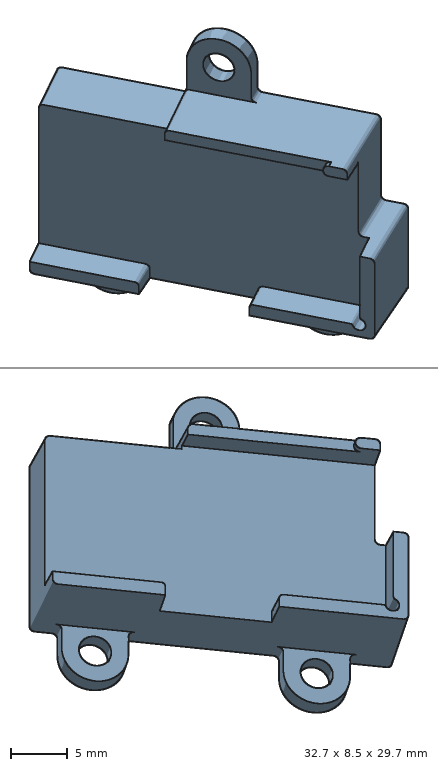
import cadquery as cq
import math

length = 32.7
depth = 8.5
floor_depth = 5.7
draft = 2.0
edge_radius = 0.5
corner_margin = 0.45

left_top = 16.87
step_x = 12.35
block_top = 18.38
upper_right = 30.15
foot_top = 9.3

bottom_wall_top = 1.65
left_wall_end = 10.55
right_wall_start = 20.65
right_wall_inner = 30.95
relief_radius = 0.52
blend_radius = 0.33
top_wall_bottom = 17.0
top_wall_depth = 7.85
nub_start = 27.6
overhang = 1.65

lug_thickness = 1.65
lug_radius = 3.07
hole_diameter = 2.9
lower_lug_z = -2.22
lower_lug_xs = (5.6, 25.57)
upper_lug_x = 15.6
upper_lug_z = 21.35
lug_root = 0.98
upper_lug_left = 12.62


def at_depth(distance):
    """Sketch plane parallel to the back face, extruding towards the front."""
    return cq.Workplane("XZ", origin=(0, -distance, 0))


def near(x, z, margin, reach):
    """Select the edges around one corner of the outline."""
    return cq.selectors.BoxSelector(
        (x - margin, -reach - margin, z - margin),
        (x + margin, margin, z + margin),
    )


def drafted_box(left, right, top):
    """Full-depth box standing on the bottom side, its four sides drafted."""
    return (
        at_depth(0)
        .moveTo(left, 0)
        .rect(right - left, top, centered=False)
        .extrude(depth, taper=draft)
    )


def make_block():
    """Full-depth drafted block; every corner is rounded except the step at the left."""
    block = (
        drafted_box(0, upper_right, left_top)
        .union(drafted_box(step_x, upper_right, block_top))
        .union(drafted_box(0, length, foot_top))
        .clean()
    )
    rounded_corners = [
        (0, 0),
        (length, 0),
        (length, foot_top),
        (upper_right, foot_top),
        (upper_right, block_top),
        (step_x, block_top),
        (0, left_top),
    ]
    for x, z in rounded_corners:
        block = block.edges(near(x, z, corner_margin, depth)).edges("not #Y").fillet(edge_radius)
    return block


def make_left_wall():
    """Wall along the left end of the bottom side, with one rounded corner."""
    return (
        at_depth(floor_depth)
        .moveTo(-overhang, -overhang)
        .lineTo(left_wall_end, -overhang)
        .lineTo(left_wall_end, bottom_wall_top - edge_radius)
        .radiusArc((left_wall_end - edge_radius, bottom_wall_top), -edge_radius)
        .lineTo(-overhang, bottom_wall_top)
        .close()
        .extrude(depth - floor_depth, taper=draft)
    )


def make_right_wall():
    """L-shaped wall round the foot, with a round relief blended into its inner corner."""
    corner_x = right_wall_inner
    corner_z = bottom_wall_top
    blend_distance = math.sqrt((relief_radius + blend_radius) ** 2 - blend_radius**2)
    to_circle = relief_radius / (relief_radius + blend_radius)
    along = blend_distance * to_circle
    across = blend_radius * to_circle
    bulge = relief_radius / math.sqrt(2)
    return (
        at_depth(floor_depth)
        .moveTo(right_wall_start, -overhang)
        .lineTo(right_wall_start, corner_z - edge_radius)
        .radiusArc((right_wall_start + edge_radius, corner_z), edge_radius)
        .lineTo(corner_x - blend_distance, corner_z)
        .radiusArc((corner_x - along, corner_z - across), blend_radius)
        .threePointArc(
            (corner_x + bulge, corner_z - bulge),
            (corner_x + across, corner_z + along),
        )
        .radiusArc((corner_x, corner_z + blend_distance), blend_radius)
        .lineTo(corner_x, foot_top + overhang)
        .lineTo(length + overhang, foot_top + overhang)
        .lineTo(length + overhang, -overhang)
        .close()
        .extrude(depth - floor_depth, taper=draft)
    )


def make_top_wall():
    """Wall along the top side, with a round-ended nub at its right end."""
    wall = (
        at_depth(floor_depth)
        .moveTo(step_x, top_wall_bottom)
        .lineTo(upper_right, top_wall_bottom)
        .lineTo(upper_right, block_top)
        .lineTo(step_x, block_top)
        .close()
        .extrude(top_wall_depth - floor_depth)
    )
    front_top = block_top - depth * math.tan(math.radians(draft))
    nub_radius = (front_top - top_wall_bottom) / 2
    nub = (
        at_depth(top_wall_depth)
        .moveTo(upper_right, top_wall_bottom)
        .lineTo(nub_start + nub_radius, top_wall_bottom)
        .threePointArc(
            (nub_start, top_wall_bottom + nub_radius),
            (nub_start + nub_radius, front_top),
        )
        .lineTo(nub_start + nub_radius, block_top)
        .lineTo(upper_right, block_top)
        .close()
        .extrude(depth - top_wall_depth)
    )
    return wall.union(nub)


def make_lug(x, z, root_z):
    """Drafted lug rounded about its hole centre, reaching straight to its root in the block."""
    direction = math.copysign(1, z - root_z)
    return (
        at_depth(0)
        .moveTo(x - lug_radius, root_z)
        .lineTo(x - lug_radius, z)
        .threePointArc((x, z + direction * lug_radius), (x + lug_radius, z))
        .lineTo(x + lug_radius, root_z)
        .close()
        .extrude(lug_thickness, taper=draft)
    )


block = make_block()
floor = (
    at_depth(0)
    .rect(2 * (length + overhang), 2 * (block_top + overhang))
    .extrude(floor_depth)
)
kept = floor.union(make_left_wall()).union(make_right_wall()).union(make_top_wall())
result = block.intersect(kept)

upper_lug = make_lug(upper_lug_x, upper_lug_z, block_top - lug_root)
flat_cut = (
    at_depth(0)
    .moveTo(upper_lug_left, upper_lug_z)
    .rect(-2 * lug_radius, 4 * lug_radius, centered=(False, True))
    .extrude(lug_thickness)
)
result = result.union(upper_lug.cut(flat_cut))
for lug_x in lower_lug_xs:
    result = result.union(make_lug(lug_x, lower_lug_z, lug_root))

lug_corners = [(upper_lug_x + lug_radius, block_top)]
for lug_x in lower_lug_xs:
    lug_corners += [(lug_x - lug_radius, 0), (lug_x + lug_radius, 0)]
for x, z in lug_corners:
    corner_edge = near(x, z, corner_margin, lug_thickness)
    result = result.edges(corner_edge).edges("not #Y").fillet(edge_radius)

hole_centres = [(upper_lug_x, upper_lug_z)] + [(x, lower_lug_z) for x in lower_lug_xs]
holes = at_depth(0).pushPoints(hole_centres).circle(hole_diameter / 2).extrude(lug_thickness)
result = result.cut(holes)